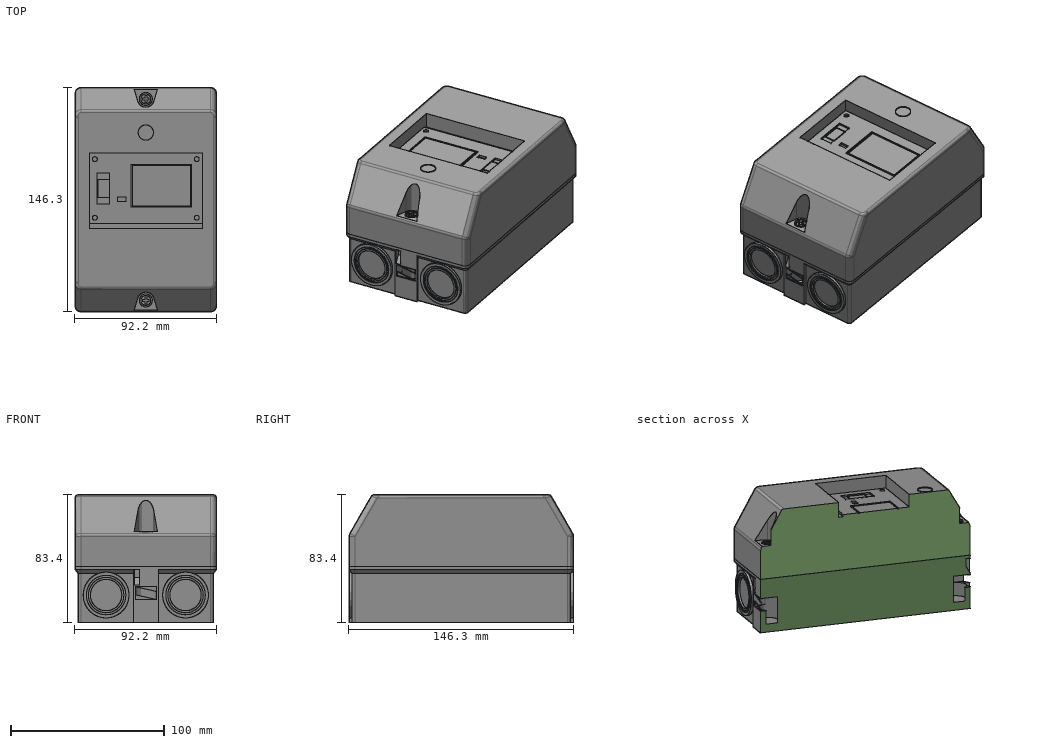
import cadquery as cq
import math

LENGTH = 146.3
WIDTH = 92.2
HEIGHT = 83.4
SPLIT_Z = 36.6
HALF_LENGTH = LENGTH / 2
HALF_WIDTH = WIDTH / 2
CORNER_R = 4.0
TOP_EDGE_R = 2.0

SLOPE_START_Z = 57.3
SLOPE_ANGLE = 30.0
SLOPE_RUN = (HEIGHT - SLOPE_START_Z) * math.tan(math.radians(SLOPE_ANGLE))

SCREW_Y = 65.7
SCOOP_FLOOR_Z = 59.4
SCOOP_R = 5.4
SCOOP_FLARE = 17.0
COUNTERBORE_R = 4.2
COUNTERBORE_DEPTH = 2.0
HEAD_R = 3.2
SHANK_R = 2.0
SHANK_END_Z = 26.3
CROSS_LENGTH = 4.4
CROSS_WIDTH = 1.3
CROSS_DEPTH = 0.5

WINDOW_WIDTH = 73.6
WINDOW_TOP_Y = 30.3
PLATE_BOTTOM_Y = -15.7
WINDOW_BOTTOM_Y = -18.7
WINDOW_DEPTH = 8.6
PLATE_GAP_DEPTH = 1.5
PLATE_Z = HEIGHT - WINDOW_DEPTH
PLATE_CENTER_Y = (WINDOW_TOP_Y + PLATE_BOTTOM_Y) / 2

PLATE_HOLE_R = 1.6
PLATE_HOLE_DEPTH = 1.5
PLATE_HOLE_SPACING_X = 66.4
PLATE_HOLE_SPACING_Y = 38.2

SCREEN_X = (-9.8, 29.8)
SCREEN_Y = (-4.7, 23.0)
SCREEN_GROOVE = 0.6
SCREEN_GROOVE_LEFT = 1.2
SCREEN_GROOVE_DEPTH = 0.6

SWITCH_X = (-31.9, -23.7)
SWITCH_Y = (-2.8, 17.3)
SWITCH_DEPTH = 1.2
ROCKER_Y = (1.3, 13.2)
ROCKER_GAP = 0.6
ROCKER_HEIGHT = 0.6

NOTCH_X = (-18.5, -13.0)
NOTCH_Y = (-1.0, 1.9)
NOTCH_DEPTH = 1.5

BUTTON_Y = 43.7
BUTTON_R = 5.0
BUTTON_DEPTH = 0.6

RIM_BOTTOM_Z = 34.5
WALL_TOP_Z = 32.2
BASE_INSET = 1.9
PAD_DEPTH = 2 * BASE_INSET

BRIDGE_WIDTH = 16.4

KNOCKOUT_X = 25.9
KNOCKOUT_Z = 18.0
KNOCKOUT_R = 14.9
RING_GROOVE_OUTER_R = 12.9
RING_GROOVE_INNER_R = 11.5
RING_GROOVE_DEPTH = 0.9
KNOCKOUT_CENTER_R = 10.2
KNOCKOUT_CENTER_DEPTH = 1.5

SLOT_X = (-7.3, -4.1)
SLOT_BOTTOM_Z = 24.5
SLOT_RAMP_TOP_Z = 29.5
SLOT_DEPTH = 2.9

TIE_HALF_WIDTH = 6.9
TIE_Z = (15.0, 23.4)
TIE_RECESS_DEPTH = 0.5
TIE_SLOT_HEIGHT = 5.3
TIE_COVER_THICKNESS = 0.6
TIE_CAVITY_BOTTOM_Z = 5.9


def block(x_range, y_range, z_range):
    """Box between the given limits."""
    x0, x1 = x_range
    y0, y1 = y_range
    z0, z1 = z_range
    return cq.Workplane("XY").box(x1 - x0, y1 - y0, z1 - z0, centered=False).translate((x0, y0, z0))


def post(x, y, radius, z0, z1):
    """Upright cylinder."""
    return cq.Workplane("XY").workplane(offset=z0).center(x, y).circle(radius).extrude(z1 - z0)


def both_ends(shape):
    """A shape at the -Y end together with its copy turned half round to the +Y end."""
    return [shape, shape.rotate((0, 0, 0), (0, 0, 1), 180)]


def cover_shell():
    top_y = HALF_LENGTH - SLOPE_RUN
    outline = [
        (-HALF_LENGTH, SPLIT_Z),
        (-HALF_LENGTH, SLOPE_START_Z),
        (-top_y, HEIGHT),
        (top_y, HEIGHT),
        (HALF_LENGTH, SLOPE_START_Z),
        (HALF_LENGTH, SPLIT_Z),
    ]
    shell = cq.Workplane("YZ").polyline(outline).close().extrude(HALF_WIDTH, both=True)
    shell = shell.faces("<Y or >Y").edges("|X and (not <Z)").fillet(CORNER_R)
    shell = shell.faces("<X or >X").edges("not(<Z or >Z)").fillet(CORNER_R)
    return shell.faces(">Z").edges().fillet(TOP_EDGE_R)


def scoop():
    """Round-backed hollow above the -Y screw, flaring out through the sloping end."""
    flare = math.radians(SCOOP_FLARE)
    tangent_x = SCOOP_R * math.cos(flare)
    tangent_y = -SCREW_Y + SCOOP_R * math.sin(flare)
    mouth_y = -HALF_LENGTH
    mouth_x = tangent_x + (tangent_y - mouth_y) * math.tan(flare)
    return (
        cq.Workplane("XY").workplane(offset=SCOOP_FLOOR_Z)
        .moveTo(-mouth_x, mouth_y)
        .lineTo(-tangent_x, tangent_y)
        .threePointArc((0, -SCREW_Y + SCOOP_R), (tangent_x, tangent_y))
        .lineTo(mouth_x, mouth_y)
        .close()
        .extrude(HEIGHT - SCOOP_FLOOR_Z)
    )


def window():
    half = WINDOW_WIDTH / 2
    opening = block((-half, half), (WINDOW_BOTTOM_Y, WINDOW_TOP_Y), (PLATE_Z, HEIGHT))
    gap = block((-half, half), (WINDOW_BOTTOM_Y, PLATE_BOTTOM_Y), (PLATE_Z - PLATE_GAP_DEPTH, PLATE_Z))
    return opening.union(gap)


def plate_holes():
    return (
        cq.Workplane("XY").workplane(offset=PLATE_Z)
        .center(0, PLATE_CENTER_Y)
        .rarray(PLATE_HOLE_SPACING_X, PLATE_HOLE_SPACING_Y, 2, 2)
        .circle(PLATE_HOLE_R)
        .extrude(-PLATE_HOLE_DEPTH)
    )


def screen_groove():
    z_range = (PLATE_Z - SCREEN_GROOVE_DEPTH, PLATE_Z)
    inner_x = (SCREEN_X[0] + SCREEN_GROOVE_LEFT, SCREEN_X[1] - SCREEN_GROOVE)
    inner_y = (SCREEN_Y[0] + SCREEN_GROOVE, SCREEN_Y[1] - SCREEN_GROOVE)
    return block(SCREEN_X, SCREEN_Y, z_range).cut(block(inner_x, inner_y, z_range))


def switch_pocket():
    """Pocket with the low block of the rocker left standing in it."""
    floor_z = PLATE_Z - SWITCH_DEPTH
    rocker_x = (SWITCH_X[0] + ROCKER_GAP, SWITCH_X[1])
    rocker = block(rocker_x, ROCKER_Y, (floor_z, floor_z + ROCKER_HEIGHT))
    return block(SWITCH_X, SWITCH_Y, (floor_z, PLATE_Z)).cut(rocker)


def make_cover():
    cover = cover_shell()
    cover = cover.cut(window()).cut(plate_holes()).cut(screen_groove()).cut(switch_pocket())
    cover = cover.cut(block(NOTCH_X, NOTCH_Y, (PLATE_Z - NOTCH_DEPTH, PLATE_Z)))
    cover = cover.cut(post(0, BUTTON_Y, BUTTON_R, HEIGHT - BUTTON_DEPTH, HEIGHT))
    counterbore_z = SCOOP_FLOOR_Z - COUNTERBORE_DEPTH
    counterbore = post(0, -SCREW_Y, COUNTERBORE_R, counterbore_z, SCOOP_FLOOR_Z)
    shank_hole = post(0, -SCREW_Y, SHANK_R, SPLIT_Z, counterbore_z)
    for end_cut in both_ends(scoop().union(counterbore).union(shank_hole)):
        cover = cover.cut(end_cut)
    return cover


def base_block():
    """Lower box with a rim that follows the cover and a bevel under the rim."""
    rim = (
        cq.Workplane("XY").workplane(offset=WALL_TOP_Z)
        .rect(WIDTH, LENGTH)
        .extrude(SPLIT_Z - WALL_TOP_Z)
        .edges("|Z").fillet(CORNER_R)
        .faces("<Z").chamfer(RIM_BOTTOM_Z - WALL_TOP_Z, BASE_INSET)
    )
    walls = (
        cq.Workplane("XY")
        .rect(WIDTH - 2 * BASE_INSET, LENGTH - 2 * BASE_INSET)
        .extrude(WALL_TOP_Z)
        .edges("|Z").fillet(CORNER_R - BASE_INSET)
    )
    return walls.union(rim)


def bridge():
    half = BRIDGE_WIDTH / 2
    return block((-half, half), (-HALF_LENGTH, -HALF_LENGTH + PAD_DEPTH), (0, RIM_BOTTOM_Z))


def end_disc(x, radius, depth):
    """Disc lying in the -Y end, from the outermost plane inwards."""
    return (
        cq.Workplane("XZ", origin=(x, -HALF_LENGTH, KNOCKOUT_Z)).circle(radius).extrude(-depth)
    )


def knockout_recesses(x):
    groove = end_disc(x, RING_GROOVE_OUTER_R, RING_GROOVE_DEPTH)
    groove = groove.cut(end_disc(x, RING_GROOVE_INNER_R, RING_GROOVE_DEPTH))
    return groove.union(end_disc(x, KNOCKOUT_CENTER_R, KNOCKOUT_CENTER_DEPTH))


def latch_slot():
    """Narrow slot under the rim whose lower part ramps out to the bridge face."""
    x0, x1 = SLOT_X
    outer_y = -HALF_LENGTH
    inner_y = outer_y + SLOT_DEPTH
    outline = [
        (outer_y, SLOT_BOTTOM_Z),
        (inner_y, SLOT_RAMP_TOP_Z),
        (inner_y, RIM_BOTTOM_Z),
        (outer_y, RIM_BOTTOM_Z),
    ]
    return cq.Workplane("YZ", origin=(x0, 0, 0)).polyline(outline).close().extrude(x1 - x0)


def tie_slot():
    """Shallow recess with a slanting slot that opens into a cavity with a round well behind."""
    bottom_z, top_z = TIE_Z
    half = TIE_HALF_WIDTH
    recess_y = -HALF_LENGTH + TIE_RECESS_DEPTH
    cavity_y = recess_y + TIE_COVER_THICKNESS
    recess = block((-half, half), (-HALF_LENGTH, recess_y), TIE_Z)
    slant = [
        (-half, top_z),
        (half, bottom_z + TIE_SLOT_HEIGHT),
        (half, bottom_z),
        (-half, top_z - TIE_SLOT_HEIGHT),
    ]
    slot_plane = cq.Workplane("XZ", origin=(0, recess_y, 0))
    slot = slot_plane.polyline(slant).close().extrude(-TIE_COVER_THICKNESS)
    well_y = cavity_y + half
    cavity = block((-half, half), (cavity_y, well_y), TIE_Z)
    well = post(0, well_y, half, TIE_CAVITY_BOTTOM_Z, top_z)
    return recess.union(slot).union(cavity).union(well)


def make_base():
    base = base_block()
    raised = bridge()
    recessed = latch_slot().union(tie_slot())
    for x in (-KNOCKOUT_X, KNOCKOUT_X):
        raised = raised.union(end_disc(x, KNOCKOUT_R, PAD_DEPTH))
        recessed = recessed.union(knockout_recesses(x))
    recessed = recessed.union(post(0, -SCREW_Y, SHANK_R, SHANK_END_Z, SPLIT_Z))
    for pad in both_ends(raised):
        base = base.union(pad)
    for end_cut in both_ends(recessed):
        base = base.cut(end_cut)
    return base


def make_screw(y):
    head_bottom_z = SCOOP_FLOOR_Z - COUNTERBORE_DEPTH
    screw = post(0, y, HEAD_R, head_bottom_z, SCOOP_FLOOR_Z)
    screw = screw.union(post(0, y, SHANK_R, SHANK_END_Z, head_bottom_z))
    cross = (
        cq.Workplane("XY").workplane(offset=SCOOP_FLOOR_Z).center(0, y)
        .rect(CROSS_LENGTH, CROSS_WIDTH).extrude(-CROSS_DEPTH)
    )
    cross = cross.union(cross.rotate((0, y, 0), (0, y, 1), 90))
    return screw.cut(cross)


cover = make_cover()
base = make_base()
screws = [make_screw(y) for y in (-SCREW_Y, SCREW_Y)]

result = cq.Compound.makeCompound([cover.val(), base.val(), *[screw.val() for screw in screws]])